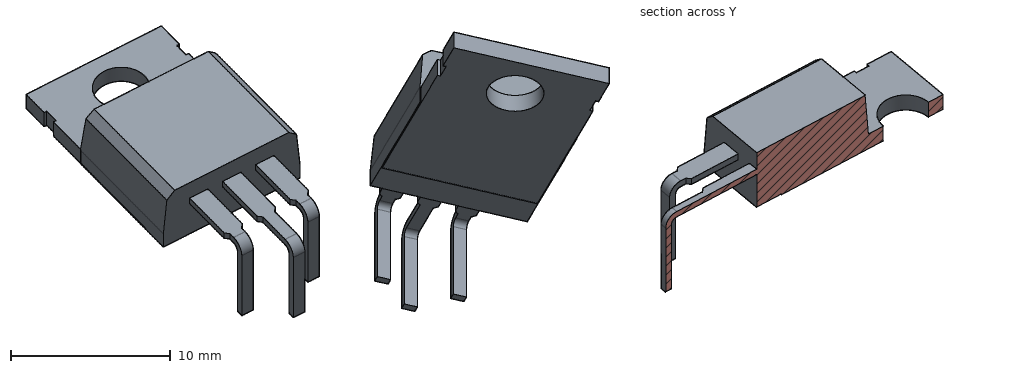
import cadquery as cq

total_length = 22.25

tab_length = 12.95
tab_width = 10.4
tab_thickness = 1.27
hole_diameter = 3.6
hole_x = 2.98
notch_length = 1.0
notch_depth = 0.2
notch_start_x = 1.95

body_start_x = 5.96
body_end_x = 14.95
body_width = 10.5
body_bottom_z = 0.07
body_top_z = 4.65
draft_inset = 0.27
bevel_height = 0.53
bevel_width = 0.6

lead_pitch = 2.54
lead_thickness = 0.5
lead_top_z = 3.27
lead_tip_z = -3.0
lead_stagger = 2.0
bend_outer_radius = 0.9
bend_inner_radius = bend_outer_radius - lead_thickness
wide_width = 1.4
narrow_width = 0.9
wide_end_x = 18.7
lead_embed = 0.45
shoulder = (wide_width - narrow_width) / 2


def make_tab():
    tab = cq.Workplane("XY").box(tab_length, tab_width, tab_thickness, centered=(False, True, False))
    hole = cq.Workplane("XY").center(hole_x, 0).circle(hole_diameter / 2).extrude(tab_thickness)
    notches = (
        cq.Workplane("XY")
        .pushPoints([(notch_start_x + notch_length / 2, side * tab_width / 2) for side in (-1, 1)])
        .rect(notch_length, 2 * notch_depth)
        .extrude(tab_thickness)
    )
    return tab.cut(hole).cut(notches)


def make_body():
    """Cross-section with drafted, bevelled flanks, trimmed by the drafted front face."""
    half_width = body_width / 2
    bevel_start_y = half_width - draft_inset
    bevel_start_z = body_top_z - bevel_height
    right_half = [
        (half_width, body_bottom_z),
        (half_width, tab_thickness),
        (bevel_start_y, bevel_start_z),
        (bevel_start_y - bevel_width, body_top_z),
    ]
    left_half = [(-y, z) for y, z in reversed(right_half)]
    cross_section = (
        cq.Workplane("YZ", origin=(body_start_x, 0, 0))
        .polyline(right_half + left_half)
        .close()
        .extrude(body_end_x - body_start_x)
    )
    side_profile = (
        cq.Workplane("XZ")
        .polyline([
            (body_start_x, body_bottom_z),
            (body_end_x, body_bottom_z),
            (body_end_x, body_top_z),
            (body_start_x + draft_inset, body_top_z),
            (body_start_x, tab_thickness),
        ])
        .close()
        .extrude(half_width, both=True)
    )
    return cross_section.intersect(side_profile)


def make_lead(y, end_x):
    """Bent strip trimmed to a wide root that narrows at a bevelled shoulder."""
    root_x = body_end_x - lead_embed
    bend_x = end_x - bend_outer_radius
    bend_z = lead_top_z - bend_outer_radius
    strip = (
        cq.Workplane("XZ", origin=(0, y, 0))
        .moveTo(root_x, lead_top_z)
        .lineTo(bend_x, lead_top_z)
        .radiusArc((end_x, bend_z), bend_outer_radius)
        .lineTo(end_x, lead_tip_z)
        .lineTo(end_x - lead_thickness, lead_tip_z)
        .lineTo(end_x - lead_thickness, bend_z)
        .radiusArc((bend_x, lead_top_z - lead_thickness), -bend_inner_radius)
        .lineTo(root_x, lead_top_z - lead_thickness)
        .close()
        .extrude(wide_width / 2, both=True)
    )
    right_half = [
        (root_x, wide_width / 2),
        (wide_end_x, wide_width / 2),
        (wide_end_x + shoulder, narrow_width / 2),
        (end_x, narrow_width / 2),
    ]
    left_half = [(x, -offset) for x, offset in reversed(right_half)]
    plan = (
        cq.Workplane("XY", origin=(0, y, lead_tip_z))
        .polyline(right_half + left_half)
        .close()
        .extrude(lead_top_z - lead_tip_z)
    )
    return strip.intersect(plan)


result = make_tab().union(make_body())
for row in (-1, 0, 1):
    lead_end_x = total_length - abs(row) * lead_stagger
    result = result.union(make_lead(row * lead_pitch, lead_end_x))